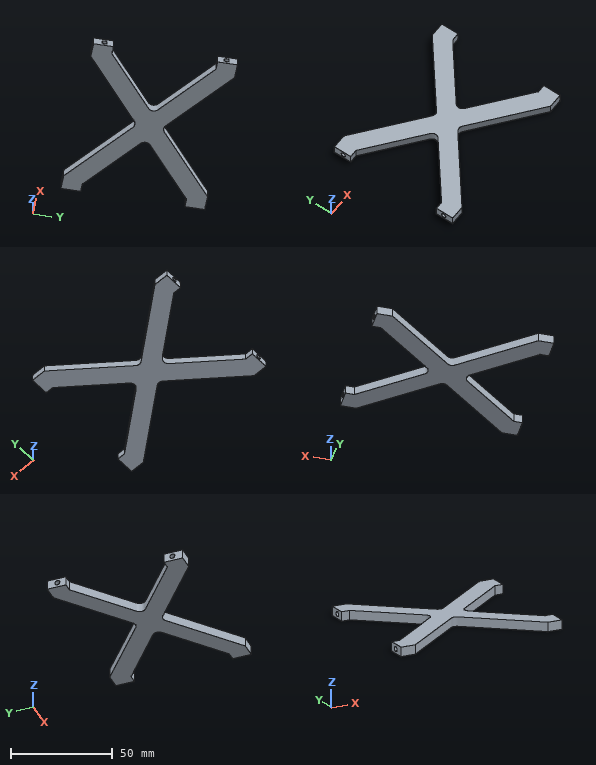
import cadquery as cq
import math

length = 90.0
width = 72.0
thickness = 5.0

arm_width = 10.0
crotch_radius = 3.0

end_height = 10.0

hole_diameter = 2.5
hole_inset = 5.5
hole_depth = 10.0
drill_point_angle = 118.0

half_length = length / 2
half_width = width / 2
arm_slope = width / length
edge_offset = arm_width / 2 / math.cos(math.atan(arm_slope))


def cross_plate():
    """X-shaped plate with rounded crotches, centred on the origin."""
    inner_y = half_width - end_height
    outer_edge_x = (half_width - edge_offset) / arm_slope
    inner_edge_x = (inner_y + edge_offset) / arm_slope
    side_crotch_x = edge_offset / arm_slope

    side_crotch = (side_crotch_x, 0)
    end_crotch = (0, edge_offset)
    arm_end = [
        (inner_edge_x, inner_y),
        (half_length, inner_y),
        (half_length, half_width),
        (outer_edge_x, half_width),
    ]
    quarter = cq.Workplane("XY").polyline([(0, 0), side_crotch, *arm_end, end_crotch]).close()
    quarter = quarter.extrude(thickness / 2, both=True)
    half = quarter.union(quarter.mirror("YZ"))
    plate = half.union(half.mirror("XZ")).clean()

    crotches = [
        side_crotch,
        (-side_crotch_x, 0),
        end_crotch,
        (0, -edge_offset),
    ]
    for x, y in crotches:
        crotch_edge = plate.edges("|Z").edges(cq.NearestToPointSelector((x, y, 0)))
        plate = crotch_edge.fillet(crotch_radius)
    return plate


def end_drill():
    """Drill shape with its mouth at the origin, pointing along +X."""
    radius = hole_diameter / 2
    point_depth = radius / math.tan(math.radians(drill_point_angle / 2))
    profile = cq.Workplane("XZ").polyline([
        (0, 0),
        (0, radius),
        (hole_depth, radius),
        (hole_depth + point_depth, 0),
    ]).close()
    return profile.revolve(360, (0, 0, 0), (1, 0, 0))


result = cross_plate()
left_drill = end_drill().translate((-half_length, 0, 0))
hole_y = half_width - hole_inset
for drill in (left_drill, left_drill.mirror("YZ")):
    for y in (-hole_y, hole_y):
        result = result.cut(drill.translate((0, y, 0)))